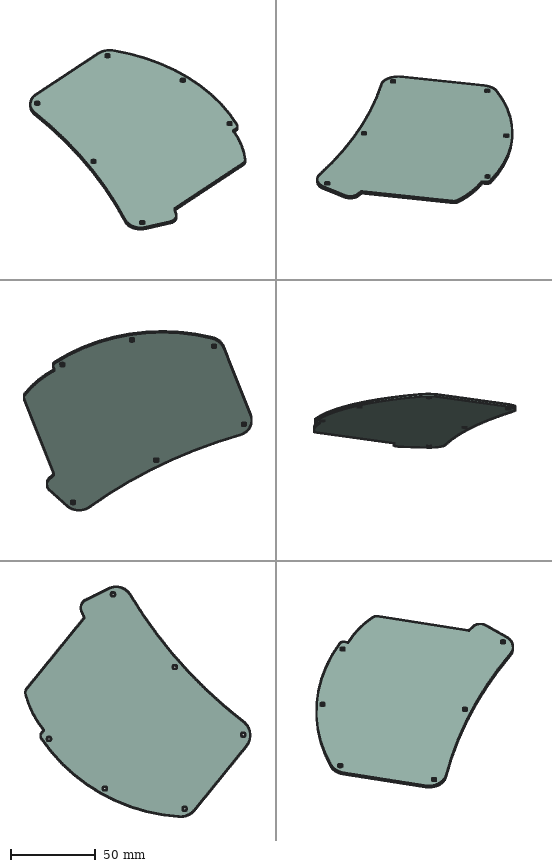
import cadquery as cq
import math

thickness = 1.5
right_edge_x = 122.7

crown_radius = 105.7
crown_center = (65.0, 0.0)

shoulder_radius = 58.2
shoulder_center = (86.2, 39.1)
step_x = 99.3

bottom_radius = 273.2
bottom_center = (12.1, -254.5)

tongue_root = (right_edge_x, 28.1)
tongue_tip = (130.8, 24.0)
tongue_heel_x = 118.4

top_left_radius = 10.3
step_radius = 2.6
shoulder_corner_radius = 3.9
tongue_tip_radius = 5.3
tongue_heel_radius = 9.7
bottom_left_radius = 10.3

hole_diameter = 2.5
hole_centers = [
    (5.0, 81.2),
    (49.3, 101.0),
    (93.6, 98.1),
    (5.7, 24.9),
    (62.5, 18.2),
    (118.1, 6.7),
]


def upper_point(center, radius, x):
    """Point at x on the upper half of a circle."""
    return (x, center[1] + math.sqrt(radius**2 - (x - center[0]) ** 2))


def crown_point(x):
    return upper_point(crown_center, crown_radius, x)


def shoulder_point(x):
    return upper_point(shoulder_center, shoulder_radius, x)


def bottom_point(x):
    return upper_point(bottom_center, bottom_radius, x)


def round_corner(plate, corner, radius):
    """Round the vertical edge that stands at the given sharp corner."""
    edge = cq.selectors.NearestToPointSelector((*corner, thickness / 2))
    return plate.edges("|Z").edges(edge).fillet(radius)


top_left = crown_point(0)
step_top = crown_point(step_x)
shoulder_corner = shoulder_point(right_edge_x)
tongue_heel = bottom_point(tongue_heel_x)
bottom_left = bottom_point(0)

plate = (
    cq.Workplane("XY")
    .moveTo(*bottom_left)
    .lineTo(*top_left)
    .threePointArc(crown_point(step_x / 2), step_top)
    .lineTo(*shoulder_point(step_x))
    .threePointArc(shoulder_point((step_x + right_edge_x) / 2), shoulder_corner)
    .lineTo(*tongue_root)
    .lineTo(*tongue_tip)
    .lineTo(*tongue_heel)
    .threePointArc(bottom_point(tongue_heel_x / 2), bottom_left)
    .close()
    .extrude(thickness)
)

corner_roundings = [
    (top_left, top_left_radius),
    (step_top, step_radius),
    (shoulder_corner, shoulder_corner_radius),
    (tongue_tip, tongue_tip_radius),
    (tongue_heel, tongue_heel_radius),
    (bottom_left, bottom_left_radius),
]
for corner, radius in corner_roundings:
    plate = round_corner(plate, corner, radius)

holes = (
    cq.Workplane("XY")
    .pushPoints(hole_centers)
    .circle(hole_diameter / 2)
    .extrude(thickness)
)
result = plate.cut(holes)